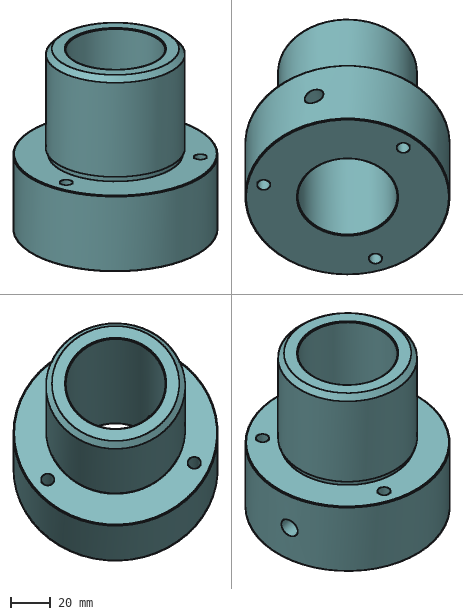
import cadquery as cq

flange_diameter = 103.0
total_height = 100.0

flange_height = 42.0
flange_chamfer = 0.5

sleeve_diameter = 70.0
sleeve_chamfer = 3.0
relief_diameter = 68.0
relief_height = 3.0

bore_diameter = 50.0
bore_chamfer = 0.5

hole_diameter = 6.6
hole_count = 3
hole_circle_radius = 42.9
first_hole_angle = -90

port_diameter = 10.0


def make_flange():
    """Round base with both rims chamfered."""
    flange = cq.Workplane("XY").circle(flange_diameter / 2).extrude(flange_height)
    return flange.edges().chamfer(flange_chamfer)


def make_sleeve():
    """Upright sleeve standing on its narrower relief neck."""
    sleeve_start = flange_height + relief_height
    neck = cq.Workplane("XY").circle(relief_diameter / 2).extrude(sleeve_start)
    sleeve = (
        cq.Workplane("XY")
        .workplane(offset=sleeve_start)
        .circle(sleeve_diameter / 2)
        .extrude(total_height - sleeve_start)
        .faces(">Z")
        .edges()
        .chamfer(sleeve_chamfer)
    )
    return neck.union(sleeve)


def make_bore():
    """Through bore, widened by a chamfer at each end."""
    radius = bore_diameter / 2
    mouth_radius = radius + bore_chamfer
    return (
        cq.Workplane("XZ")
        .moveTo(0, 0)
        .lineTo(mouth_radius, 0)
        .lineTo(radius, bore_chamfer)
        .lineTo(radius, total_height - bore_chamfer)
        .lineTo(mouth_radius, total_height)
        .lineTo(0, total_height)
        .close()
        .revolve(360, (0, 0), (0, 1))
    )


def make_bolt_holes():
    """Evenly spaced holes through the flange."""
    return (
        cq.Workplane("XY")
        .polarArray(hole_circle_radius, first_hole_angle, 360, hole_count)
        .circle(hole_diameter / 2)
        .extrude(flange_height)
    )


def make_port():
    """Radial hole from the +Y rim of the flange into the bore."""
    return (
        cq.Workplane("XZ")
        .center(0, flange_height / 2)
        .circle(port_diameter / 2)
        .extrude(-flange_diameter / 2)
    )


body = make_flange().union(make_sleeve())
result = body.cut(make_bore()).cut(make_bolt_holes()).cut(make_port())